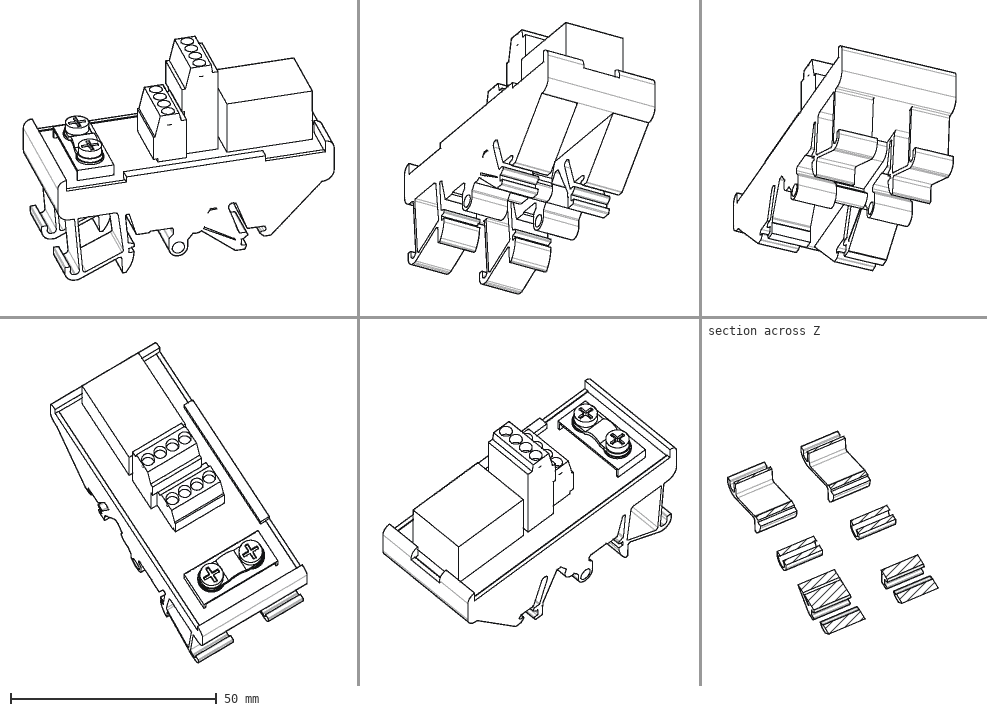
import cadquery as cq
import math

WIDTH = 30.0
LENGTH = 70.0
SECTION_WIDTH = 10.0

BAR_BOTTOM = 17.45
DECK = 25.75
BOARD_RECESS = 0.3
BOARD_TOP = DECK - BOARD_RECESS
SIDE_WALL = 1.07
REAR_WALL = 1.3
LIP = 2.25
LIP_RADIUS = LIP - 0.05
LIP_TOP = 28.75
BAR_CORNER_RADIUS = 2.9

FOOT_TUBE_Y = 30.55
FOOT_TUBE_Z = 4.85
FOOT_TUBE_RADIUS = 2.37
FOOT_TUBE_BORE_RADIUS = 1.54

KNOB_Y = 35.0
KNOB_Z = 10.57
KNOB_RADIUS = 2.43

RELAY_X = 6.93
RELAY_WIDTH = 16.1
RELAY_Y = 44.85
RELAY_LENGTH = 21.65
RELAY_TOP = 39.2

TERMINAL_PITCH = 3.5
TERMINAL_POLES = 4
TERMINAL_WIDTH = TERMINAL_PITCH * TERMINAL_POLES
TERMINAL_HOLE_DIAMETER = 3.1
TERMINAL_HOLE_DEPTH = 3.0
TERMINAL_STEP_DROP = 2.2
TERMINAL_SLOPE_DROP = 5.75

TALL_TERMINAL_X = 6.93
TALL_TERMINAL_TOP = 49.65
TALL_TERMINAL_REAR = 43.25
TALL_TERMINAL_HOLE_Y = 39.0
LOW_TERMINAL_X = 8.67
LOW_TERMINAL_TOP = 38.4
LOW_TERMINAL_REAR = 34.75
LOW_TERMINAL_HOLE_Y = 30.55

RAIL_X = 27.45
RAIL_FRONT = 17.4
RAIL_REAR = 52.65
RAIL_TOP = 27.2

BRACKET_X = 4.35
BRACKET_WIDTH = 21.2
BRACKET_Y = 6.3
BRACKET_DEPTH = 9.2
BRACKET_TOP = 28.35
BRACKET_SHEET = 0.6

SCREW_SPACING = 11.2
SCREW_HEAD_DIAMETER = 5.7
SCREW_HEAD_TOP = 31.85
CROSS_LENGTH = 4.1
CROSS_WIDTH = 0.75
CROSS_DEPTH = 0.8

WASHER_DIAMETER = 6.75
WASHER_THICKNESS = 0.5
STRAP_END_DIAMETER = 6.2
STRAP_WIDTH = 6.0
STRAP_THICKNESS = 1.0
ARCH_RISE = 1.15
ARCH_SPAN = 5.1


def box(x, y, z, width, length, height):
    """Box placed by its lowest corner."""
    return cq.Workplane("XY").box(width, length, height, centered=False).translate((x, y, z))


def disc(x, y, z, diameter, height):
    """Upright cylinder standing on height z."""
    return cq.Workplane("XY").circle(diameter / 2).extrude(height).translate((x, y, z))


def rod(y, z, radius, x_start, x_end):
    """Cylinder lying along X."""
    return cq.Workplane("YZ").center(y, z).circle(radius).extrude(x_end - x_start).translate((x_start, 0, 0))


def toward(start, end, distance):
    """Point at a distance from start on the way to end."""
    span = math.dist(start, end)
    return tuple(a + (b - a) * distance / span for a, b in zip(start, end))


def prism(corners, x_start, x_end):
    """Extrude a Y-Z polygon along X; a third value in a corner is its rounding radius."""
    points = [corner[:2] for corner in corners]
    stretches = []
    for index, corner in enumerate(corners):
        point = points[index]
        radius = corner[2] if len(corner) == 3 else 0
        if radius == 0:
            stretches.append((point,))
            continue
        before = points[index - 1]
        after = points[(index + 1) % len(points)]
        unit_before = toward(point, before, 1)
        unit_after = toward(point, after, 1)
        half_angle = math.asin(math.dist(unit_before, unit_after) / 2)
        setback = radius / math.tan(half_angle)
        bisector = ((unit_before[0] + unit_after[0]) / 2, (unit_before[1] + unit_after[1]) / 2)
        middle = toward(point, bisector, radius / math.sin(half_angle) - radius)
        stretches.append((toward(point, before, setback), middle, toward(point, after, setback)))

    outline = cq.Workplane("YZ").moveTo(*stretches[0][-1])
    for stretch in stretches[1:] + stretches[:1]:
        outline = outline.lineTo(*stretch[0])
        if len(stretch) == 3:
            outline = outline.threePointArc(stretch[1], stretch[2])
    return outline.close().extrude(x_end - x_start).translate((x_start, 0, 0))


def housing_bar():
    """Full-width bar with a rounded lip at each end and the board sunk into its top."""
    bar = prism(
        [
            (0, BAR_BOTTOM, BAR_CORNER_RADIUS),
            (LENGTH, BAR_BOTTOM, BAR_CORNER_RADIUS),
            (LENGTH, LIP_TOP, LIP_RADIUS),
            (LENGTH - LIP, LIP_TOP),
            (LENGTH - LIP, DECK),
            (LIP, DECK),
            (LIP, LIP_TOP),
            (0, LIP_TOP, LIP_RADIUS),
        ],
        0,
        WIDTH,
    )
    rear_gap = box(SECTION_WIDTH, LENGTH - LIP, DECK, SECTION_WIDTH, LIP, LIP_TOP - DECK)
    board_width = WIDTH - 2 * SIDE_WALL
    board_seat = box(SIDE_WALL, LIP, BOARD_TOP, board_width, LENGTH - 2 * LIP, BOARD_RECESS)
    rear_seat = box(
        SECTION_WIDTH, LENGTH - LIP, BOARD_TOP, SECTION_WIDTH, LIP - REAR_WALL, BOARD_RECESS
    )
    return bar.cut(rear_gap).cut(board_seat).cut(rear_seat)


def end_section(x_start):
    """Rail-mount profile under the bar: rear wing, clip, tube and front foot."""
    x_end = x_start + SECTION_WIDTH
    inside_bar = BAR_BOTTOM + 0.6
    rear_wing = [
        (66.9, inside_bar),
        (66.9, BAR_BOTTOM),
        (53.95, 4.35, 0.2),
        (52.25, 4.35, 0.2),
        (51.0, 5.5, 0.2),
        (51.6, 5.85, 0.1),
        (52.75, 5.9, 0.5),
        (52.6, 7.25, 0.8),
        (48.0, 7.25),
        (44.95, 15.45, 1.0),
        (42.99, 14.72, 1.0),
    ]
    spring_clip = [
        (46.0, 6.3, 0.2),
        (47.75, 6.3, 0.3),
        (48.2, 5.5, 0.2),
        (46.95, 4.5, 0.2),
        (46.47, 4.5),
        (46.47, 2.75, 0.3),
        (47.9, 2.75, 0.15),
        (47.4, 1.49, 0.3),
        (44.95, 1.49),
        (44.95, 4.65),
        (44.78, 4.65),
        (44.78, 5.9, 0.6),
        (40.1, 14.49, 0.3),
        (38.8, 14.49, 0.2),
        (37.05, 12.17),
    ]
    tube_neck = [
        (KNOB_Y, KNOB_Z),
        (34.3, 8.3),
        (FOOT_TUBE_Y + FOOT_TUBE_RADIUS, 6.6, 0.5),
        (FOOT_TUBE_Y + FOOT_TUBE_RADIUS, FOOT_TUBE_Z),
        (FOOT_TUBE_Y - FOOT_TUBE_RADIUS, FOOT_TUBE_Z),
        (FOOT_TUBE_Y - FOOT_TUBE_RADIUS, 7.8, 0.2),
        (29.35, 9.0, 0.4),
        (29.35, 10.67, 0.8),
        (23.5, 10.67),
        (23.1, 10.29),
        (19.9, 10.29, 0.3),
        (18.1, 16.46, 0.35),
        (17.15, 16.46, 0.35),
    ]
    front_foot = [
        (17.85, 8.35, 0.3),
        (19.4, 7.85, 0.3),
        (19.4, 7.05, 0.2),
        (18.01, 6.65),
        (18.01, 5.53),
        (19.37, 5.53),
        (19.0, 2.4, 8.0),
        (17.25, 0, 0.2),
        (16.4, 0, 0.2),
        (16.2, 4.9, 0.6),
        (5.25, 0, 1.5),
        (1.77, 0, 2.6),
        (1.77, 4.0, 0.2),
        (3.2, 4.0, 0.2),
        (3.2, 1.65, 1.0),
        (5.55, 1.65, 1.0),
        (4.25, BAR_BOTTOM, 0.5),
        (3.0, BAR_BOTTOM),
        (3.0, inside_bar),
    ]
    foot_window = [
        (15.23, BAR_BOTTOM, 1.1),
        (5.05, BAR_BOTTOM, 0.4),
        (6.4, 1.68, 0.6),
        (16.65, 6.1, 0.6),
    ]
    section = prism(rear_wing + spring_clip + tube_neck + front_foot, x_start, x_end)
    section = section.cut(prism(foot_window, x_start, x_end))
    section = section.union(rod(KNOB_Y, KNOB_Z, KNOB_RADIUS, x_start, x_end))
    section = section.union(rod(FOOT_TUBE_Y, FOOT_TUBE_Z, FOOT_TUBE_RADIUS, x_start, x_end))
    return section.cut(rod(FOOT_TUBE_Y, FOOT_TUBE_Z, FOOT_TUBE_BORE_RADIUS, x_start, x_end))


def clip_web(x_start):
    """Web and strut closing the notch behind the clip, with a narrow slit between them."""
    x_end = x_start + SECTION_WIDTH
    web = [(45.2, 4.65), (45.2, 6.0), (40.6, 14.15), (38.6, 14.15), (36.8, 12.0), (36.8, 9.75)]
    strut = [(45.2, 1.5), (45.2, 4.4), (36.8, 9.2), (36.2, 8.75), (44.85, 1.6)]
    return prism(web, x_start, x_end).union(prism(strut, x_start, x_end))


def middle_section():
    """Short block under the bar between the end sections, with a round-bottomed knob."""
    x_start = SECTION_WIDTH
    x_end = x_start + SECTION_WIDTH
    block_bottom = 13.5
    knob_rear = KNOB_Y + KNOB_RADIUS
    knob_front = KNOB_Y - KNOB_RADIUS
    knob_bottom = KNOB_Z - KNOB_RADIUS
    knob_rounding = KNOB_RADIUS - 0.03
    block = [
        (38.5, BAR_BOTTOM),
        (37.05, block_bottom),
        (37.05, 12.2),
        (knob_rear, KNOB_Z + 0.5),
        (knob_rear, knob_bottom, knob_rounding),
        (knob_front, knob_bottom, knob_rounding),
        (knob_front, KNOB_Z),
        (KNOB_Y, 12.76),
        (KNOB_Y, block_bottom),
        (20.0, block_bottom, 2.7),
        (20.0, BAR_BOTTOM),
    ]
    return prism(block, x_start, x_end)


def with_wire_holes(block, x, y, top):
    """Drill one row of terminal holes into the top of a block starting at x."""
    for pole in range(TERMINAL_POLES):
        hole_x = x + (pole + 0.5) * TERMINAL_PITCH
        block = block.cut(
            disc(hole_x, y, top - TERMINAL_HOLE_DEPTH, TERMINAL_HOLE_DIAMETER, TERMINAL_HOLE_DEPTH)
        )
    return block


def tall_terminal():
    """Rear terminal block, stepped forward over the low terminal."""
    rear = TALL_TERMINAL_REAR
    top = TALL_TERMINAL_TOP
    front = rear - 9.2
    overhang_bottom = top - 12.15
    profile = [
        (rear, BOARD_TOP),
        (rear, top - TERMINAL_STEP_DROP),
        (rear - 1.4, top - TERMINAL_STEP_DROP),
        (rear - 1.75, top),
        (rear - 6.95, top),
        (rear - 8.3, top - TERMINAL_SLOPE_DROP),
        (front, top - TERMINAL_SLOPE_DROP),
        (front, overhang_bottom),
        (LOW_TERMINAL_REAR, overhang_bottom),
        (LOW_TERMINAL_REAR, BOARD_TOP),
    ]
    block = prism(profile, TALL_TERMINAL_X, TALL_TERMINAL_X + TERMINAL_WIDTH)
    return with_wire_holes(block, TALL_TERMINAL_X, TALL_TERMINAL_HOLE_Y, top)


def low_terminal():
    """Front terminal block with a small notch under its front edge."""
    rear = LOW_TERMINAL_REAR
    top = LOW_TERMINAL_TOP
    front = rear - 8.4
    notch_top = DECK + 0.6
    notch_rear = front + 1.1
    profile = [
        (rear, BOARD_TOP),
        (rear, top - TERMINAL_STEP_DROP),
        (rear - 1.25, top - TERMINAL_STEP_DROP),
        (rear - 1.9, top),
        (rear - 6.65, top),
        (front + 0.4, top - TERMINAL_SLOPE_DROP),
        (front, top - TERMINAL_SLOPE_DROP),
        (front, notch_top),
        (notch_rear, notch_top),
        (notch_rear, BOARD_TOP),
    ]
    block = prism(profile, LOW_TERMINAL_X, LOW_TERMINAL_X + TERMINAL_WIDTH)
    return with_wire_holes(block, LOW_TERMINAL_X, LOW_TERMINAL_HOLE_Y, top)


def relay():
    """Plain relay housing at the rear."""
    return box(RELAY_X, RELAY_Y, BOARD_TOP, RELAY_WIDTH, RELAY_LENGTH, RELAY_TOP - BOARD_TOP)


def side_rail():
    """Low bar along the +X side wall."""
    return box(
        RAIL_X, RAIL_FRONT, BOARD_TOP, WIDTH - RAIL_X, RAIL_REAR - RAIL_FRONT, RAIL_TOP - BOARD_TOP
    )


def clamp_bracket():
    """Sheet bridge standing on its two ends, open toward front and rear."""
    height = BRACKET_TOP - BOARD_TOP
    outside = box(BRACKET_X, BRACKET_Y, BOARD_TOP, BRACKET_WIDTH, BRACKET_DEPTH, height)
    inside = box(
        BRACKET_X + BRACKET_SHEET,
        BRACKET_Y,
        BOARD_TOP,
        BRACKET_WIDTH - 2 * BRACKET_SHEET,
        BRACKET_DEPTH,
        height - BRACKET_SHEET,
    )
    return outside.cut(inside)


def clamp_strap():
    """Two screws with washers holding an arched strap on the bracket."""
    center_x = WIDTH / 2
    center_y = BRACKET_Y + BRACKET_DEPTH / 2
    strap_bottom = BRACKET_TOP + WASHER_THICKNESS
    strap_top = strap_bottom + STRAP_THICKNESS
    half_arch = ARCH_SPAN / 2
    half_spacing = SCREW_SPACING / 2

    strap = (
        cq.Workplane("XZ")
        .moveTo(-half_spacing, strap_bottom)
        .lineTo(-half_arch, strap_bottom)
        .threePointArc((0, strap_bottom + ARCH_RISE), (half_arch, strap_bottom))
        .lineTo(half_spacing, strap_bottom)
        .lineTo(half_spacing, strap_top)
        .lineTo(half_arch, strap_top)
        .threePointArc((0, strap_top + ARCH_RISE), (-half_arch, strap_top))
        .lineTo(-half_spacing, strap_top)
        .close()
        .extrude(STRAP_WIDTH / 2, both=True)
        .translate((center_x, center_y, 0))
    )
    cross_bottom = SCREW_HEAD_TOP - CROSS_DEPTH
    for side in (-1, 1):
        x = center_x + side * half_spacing
        strap = strap.union(disc(x, center_y, BRACKET_TOP, WASHER_DIAMETER, WASHER_THICKNESS))
        strap = strap.union(disc(x, center_y, strap_bottom, STRAP_END_DIAMETER, STRAP_THICKNESS))
        head = disc(x, center_y, strap_top, SCREW_HEAD_DIAMETER, SCREW_HEAD_TOP - strap_top)
        for length_x, length_y in ((CROSS_LENGTH, CROSS_WIDTH), (CROSS_WIDTH, CROSS_LENGTH)):
            slot = box(
                x - length_x / 2, center_y - length_y / 2, cross_bottom, length_x, length_y, CROSS_DEPTH
            )
            head = head.cut(slot)
        strap = strap.union(head)
    return strap


right_section_x = WIDTH - SECTION_WIDTH
features = [
    end_section(0),
    end_section(right_section_x),
    clip_web(right_section_x),
    middle_section(),
    relay(),
    tall_terminal(),
    low_terminal(),
    side_rail(),
    clamp_bracket(),
    clamp_strap(),
]
result = housing_bar()
for feature in features:
    result = result.union(feature)